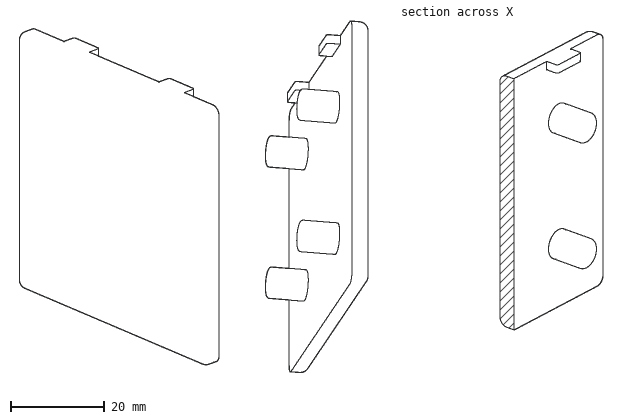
import cadquery as cq

plate_side = 60.0
plate_thickness = 4.0
edge_radius = 2.0

peg_diameter = 6.8
peg_length = 8.0
peg_spacing = 30.0
peg_tip_radius = 0.5

tab_width = 8.0
tab_length = 3.0
tab_height = 2.0
tab_corner_radius = 0.5

peg_offsets = (-peg_spacing / 2, peg_spacing / 2)


def make_plate():
    """Square plate with rounded corners and a rounded front rim."""
    plate = cq.Workplane("XY").box(
        plate_side, plate_thickness, plate_side, centered=(True, False, True)
    )
    plate = plate.edges("|Y").fillet(edge_radius)
    return plate.faces("<Y").edges().fillet(edge_radius)


def make_peg(x, z):
    """Cylindrical peg standing on the back of the plate, with a rounded tip rim."""
    base_plane = cq.Plane(origin=(x, plate_thickness, z), xDir=(1, 0, 0), normal=(0, 1, 0))
    peg = cq.Workplane(base_plane).circle(peg_diameter / 2).extrude(peg_length)
    return peg.faces(">Y").fillet(peg_tip_radius)


def make_tab(x):
    """Tab flush with the top edge, with its two free corners rounded."""
    tab = cq.Workplane("XY").box(
        tab_width, tab_length, tab_height, centered=(True, False, False)
    )
    tab = tab.faces(">Y").edges("|Z").fillet(tab_corner_radius)
    return tab.translate((x, plate_thickness, plate_side / 2 - tab_height))


result = make_plate()
for peg_x in peg_offsets:
    result = result.union(make_tab(peg_x))
    for peg_z in peg_offsets:
        result = result.union(make_peg(peg_x, peg_z))